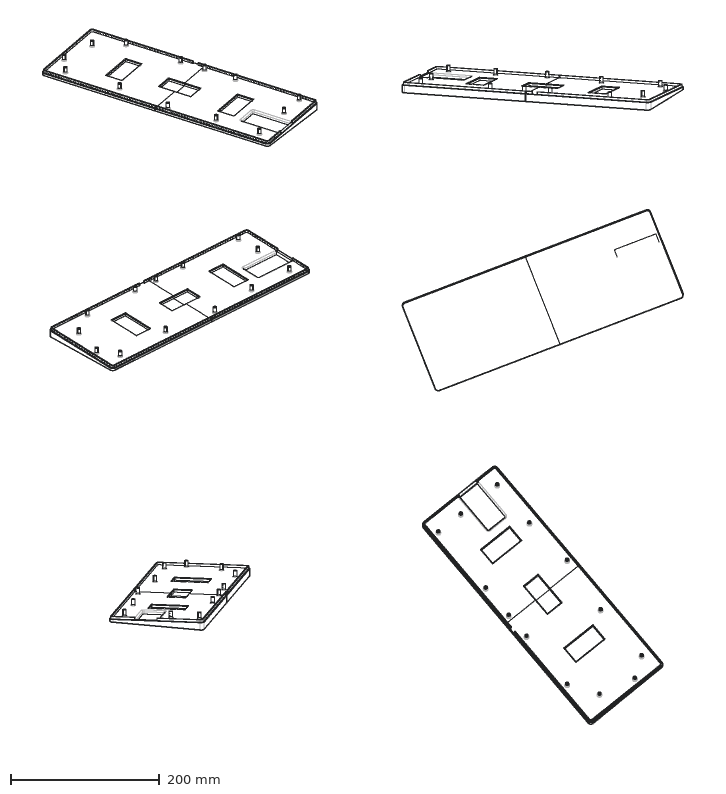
import cadquery as cq
import math

LENGTH = 358.0
WIDTH = 129.0
HEIGHT = 19.7
CORNER_RADIUS = 5.0
TILT_DEGREES = 3.0
TOP_CHAMFER = 0.5
BOTTOM_CHAMFER = 0.9

JOINT_RELIEF = 0.7

FLOOR_Z = 11.0
RIM_TOP_Z = 14.3

RIM_INSET = 1.5
RIM_THICKNESS = 1.6

POST_DIAMETER = 4.5
POST_HOLE_DIAMETER = 1.8
POST_HOLE_DEPTH = 7.0
POST_FILLET = 1.0
BACK_ROW_Y = 54.5
FRONT_ROW_Y = -48.0
RIGHT_COLUMN_X = 154.5
POST_CENTRES = [
    (-117.8, BACK_ROW_Y),
    (-32.0, BACK_ROW_Y),
    (5.7, BACK_ROW_Y),
    (54.5, BACK_ROW_Y),
    (RIGHT_COLUMN_X, BACK_ROW_Y),
    (-155.7, 29.5),
    (RIGHT_COLUMN_X, 15.5),
    (-169.0, -21.0),
    (-150.7, FRONT_ROW_Y),
    (86.5, FRONT_ROW_Y),
    (RIGHT_COLUMN_X, FRONT_ROW_Y),
    (-66.5, -46.0),
    (14.5, -54.5),
]

RECESS_LONG = 51.0
RECESS_SHORT = 25.8
RECESS_DEPTH = 4.0
RECESS_CHAMFER = 1.0
SIDE_RECESS_X = 88.0

POCKET_LEFT_X = 115.0
POCKET_RIGHT_X = 174.7
POCKET_WIDTH = 30.0
POCKET_CENTRE_Y = -14.5
POCKET_Y_RANGE = (POCKET_CENTRE_Y - POCKET_WIDTH / 2, POCKET_CENTRE_Y + POCKET_WIDTH / 2)
POCKET_DEPTH = 5.5
POCKET_EDGE_RADIUS = 2.0
POCKET_CORNER_RADIUS = 1.5

CABLE_GAP_LEFT_X = -16.5
CABLE_GAP_RIGHT_X = -9.0


def rounded_block(inset, bottom_z, top_z):
    """Block with the tray's rounded outline, drawn in by the inset."""
    block = cq.Workplane("XY", origin=(0, 0, bottom_z))
    block = block.rect(LENGTH - 2 * inset, WIDTH - 2 * inset).extrude(top_z - bottom_z)
    return block.edges("|Z").fillet(CORNER_RADIUS - inset)


def box_between(x_range, y_range, z_range):
    """Axis-aligned box given by its two ends along each axis."""
    size = [end - start for start, end in (x_range, y_range, z_range)]
    corner = (x_range[0], y_range[0], z_range[0])
    return cq.Workplane("XY", origin=corner).box(*size, centered=False)


def wedge_base():
    """Base slab whose underside rises towards the front, chamfered top and bottom."""
    slope = math.tan(math.radians(TILT_DEGREES))
    back_z = -BOTTOM_CHAMFER * slope
    front_z = back_z + WIDTH * slope
    profile = [
        (WIDTH / 2, back_z),
        (WIDTH / 2, FLOOR_Z),
        (-WIDTH / 2, FLOOR_Z),
        (-WIDTH / 2, front_z),
    ]
    wedge = cq.Workplane("YZ").polyline(profile).close().extrude(LENGTH / 2, both=True)
    wedge = wedge.edges("|Z").fillet(CORNER_RADIUS)
    wedge = wedge.faces(">Z").edges().chamfer(TOP_CHAMFER)
    return wedge.faces("<Z").edges().chamfer(BOTTOM_CHAMFER)


def cut_joint_relief(tray):
    """Vee grooves down both long walls at the joint, with a matching gap in the rim above them."""
    for side in (-1, 1):
        wall_y = side * WIDTH / 2
        vee = [
            (-JOINT_RELIEF, wall_y),
            (JOINT_RELIEF, wall_y),
            (0, wall_y - side * JOINT_RELIEF),
        ]
        tray = tray.cut(cq.Workplane("XY").polyline(vee).close().extrude(FLOOR_Z))
    gap = box_between((-JOINT_RELIEF, JOINT_RELIEF), (-WIDTH / 2, WIDTH / 2), (FLOOR_Z, RIM_TOP_Z))
    return tray.cut(gap)


def rim():
    """Rim wall around the floor, with the pocket gap and the cable gap cut out."""
    outer = rounded_block(RIM_INSET, FLOOR_Z, RIM_TOP_Z)
    inner = rounded_block(RIM_INSET + RIM_THICKNESS, FLOOR_Z, RIM_TOP_Z)
    z_range = (FLOOR_Z, RIM_TOP_Z)
    pocket_gap = box_between((POCKET_RIGHT_X, LENGTH / 2), POCKET_Y_RANGE, z_range)
    cable_gap = box_between((CABLE_GAP_LEFT_X, CABLE_GAP_RIGHT_X), (0, WIDTH / 2), z_range)
    return outer.cut(inner).cut(pocket_gap).cut(cable_gap)


def recess(centre_x, size_x, size_y):
    """Tool for a shallow recess that flares out at the floor."""
    inner_x = size_x - 2 * RECESS_CHAMFER
    inner_y = size_y - 2 * RECESS_CHAMFER
    well = cq.Workplane("XY", origin=(centre_x, 0, FLOOR_Z)).rect(inner_x, inner_y).extrude(-RECESS_DEPTH)
    flare = (
        cq.Workplane("XY", origin=(centre_x, 0, FLOOR_Z))
        .rect(size_x, size_y)
        .workplane(offset=-RECESS_CHAMFER)
        .rect(inner_x, inner_y)
        .loft(ruled=True)
    )
    return well.union(flare)


def cut_pocket(tray):
    """Sink the pocket and round its upper edge on the three sides away from the rim."""
    bottom_z = FLOOR_Z - POCKET_DEPTH
    pocket = box_between((POCKET_LEFT_X, POCKET_RIGHT_X), POCKET_Y_RANGE, (bottom_z, FLOOR_Z))
    pocket = pocket.edges("|Z and <X").fillet(POCKET_CORNER_RADIUS)
    margin = POCKET_CORNER_RADIUS / 4
    upper_edge = cq.selectors.BoxSelector(
        (POCKET_LEFT_X - margin, POCKET_Y_RANGE[0] - margin, FLOOR_Z - margin),
        (POCKET_RIGHT_X - margin, POCKET_Y_RANGE[1] + margin, FLOOR_Z + margin),
    )
    return tray.cut(pocket).edges(upper_edge).fillet(POCKET_EDGE_RADIUS)


def cut_recesses(tray):
    """One recess across the joint and one lengthwise recess in the middle of each half."""
    tray = tray.cut(recess(0, RECESS_LONG, RECESS_SHORT))
    for centre_x in (-SIDE_RECESS_X, SIDE_RECESS_X):
        tray = tray.cut(recess(centre_x, RECESS_SHORT, RECESS_LONG))
    return tray


def post():
    """Screw post with a flared foot and a pilot hole, standing at the origin."""
    height = HEIGHT - FLOOR_Z
    radius = POST_DIAMETER / 2
    hole_radius = POST_HOLE_DIAMETER / 2
    hole_bottom = height - POST_HOLE_DEPTH
    flare_sag = POST_FILLET * (1 - math.sqrt(0.5))
    half_section = (
        cq.Workplane("XZ")
        .lineTo(radius + POST_FILLET, 0)
        .threePointArc((radius + flare_sag, flare_sag), (radius, POST_FILLET))
        .lineTo(radius, height)
        .lineTo(hole_radius, height)
        .lineTo(hole_radius, hole_bottom)
        .lineTo(0, hole_bottom)
        .close()
    )
    return half_section.revolve(360, (0, 0, 0), (0, 1, 0))


def add_posts(tray):
    """Stand a screw post on the floor at each centre."""
    for x, y in POST_CENTRES:
        tray = tray.union(post().translate((x, y, FLOOR_Z)))
    return tray


def half_tray(x_range):
    """The part of the whole tray that lies within a range of X."""
    tray = cut_pocket(wedge_base())
    tray = cut_recesses(tray)
    tray = tray.union(rim())
    tray = cut_joint_relief(tray)
    tray = add_posts(tray)
    return tray.intersect(box_between(x_range, (-WIDTH / 2, WIDTH / 2), (0, HEIGHT)))


left_half = half_tray((-LENGTH / 2, 0))
right_half = half_tray((0, LENGTH / 2))

result = cq.Compound.makeCompound([left_half.val(), right_half.val()])